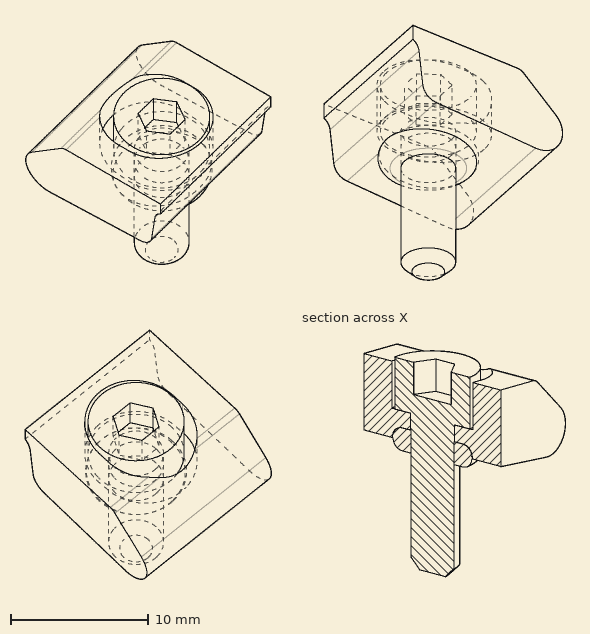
import cadquery as cq
import math


block_width = 12.7
block_left = -7.61
block_right = block_left + block_width
block_top = 16.13
nose_radius = 2.0
nose_center_x = block_left + nose_radius
nose_center_z = 10.87
top_slope = math.radians(5.6)
ramp_slope = math.radians(45)
bottom_slope = math.radians(8.4)
ridge_radius = 0.8
heel_radius = 1.34
rear_low_x, rear_low_z = 4.25, 11.25
neck_x, neck_z = 4.56, 14.08
lip_bottom = 14.92

shank_radius = 2.0
tip_chamfer = 0.8
head_radius = 3.5
head_height = 4.0
head_top = 15.98
head_seat = head_top - head_height
hex_across_flats = 3.0
hex_depth = 2.5

pocket_radius = 3.75
pocket_travel = 1.0

washer_radius = 3.68
washer_bottom = 8.85
rim_radius = 0.89
washer_flat_radius = washer_radius - rim_radius


def line_crossing(x1, z1, slope1, x2, z2, slope2):
    """Crossing point of two lines, each given by a point and a slope."""
    x = (z2 - z1 + slope1 * x1 - slope2 * x2) / (slope1 - slope2)
    return x, z1 + slope1 * (x - x1)


def nose_point(angle):
    """Point on the nose arc at an angle measured from +X."""
    return (
        nose_center_x + nose_radius * math.cos(angle),
        nose_center_z + nose_radius * math.sin(angle),
    )


def make_washer():
    profile = (
        cq.Workplane("XZ")
        .moveTo(0, washer_bottom)
        .lineTo(washer_flat_radius, washer_bottom)
        .threePointArc(
            (washer_radius, washer_bottom + rim_radius),
            (washer_flat_radius, washer_bottom + 2 * rim_radius),
        )
        .lineTo(0, washer_bottom + 2 * rim_radius)
        .close()
    )
    return profile.revolve(360, (0, 0), (0, 1))


def make_shank():
    shank = cq.Workplane("XY").circle(shank_radius).extrude(head_seat)
    return shank.faces("<Z").chamfer(tip_chamfer)


def make_screw():
    head = cq.Workplane("XY").workplane(offset=head_seat).circle(head_radius).extrude(head_height)
    hex_diameter = hex_across_flats / math.cos(math.pi / 6)
    socket = (
        cq.Workplane("XY")
        .workplane(offset=head_top - hex_depth)
        .transformed(rotate=(0, 0, 90))
        .polygon(6, hex_diameter)
        .extrude(hex_depth)
    )
    return make_shank().union(head).cut(socket)


def make_block_blank():
    ramp_start = nose_point(math.pi / 2 + ramp_slope)
    bottom_start = nose_point(bottom_slope - math.pi / 2)
    ridge = line_crossing(*ramp_start, math.tan(ramp_slope), block_right, block_top, math.tan(top_slope))
    rear_slope = (neck_z - rear_low_z) / (neck_x - rear_low_x)
    heel = line_crossing(*bottom_start, math.tan(bottom_slope), rear_low_x, rear_low_z, rear_slope)
    blank = (
        cq.Workplane("XZ")
        .moveTo(*bottom_start)
        .lineTo(*heel)
        .lineTo(neck_x, neck_z)
        .tangentArcPoint((block_right, lip_bottom), relative=False)
        .lineTo(block_right, block_top)
        .lineTo(*ridge)
        .lineTo(*ramp_start)
        .threePointArc(nose_point(math.pi), bottom_start)
        .close()
        .extrude(block_width / 2, both=True)
    )
    ridge_edge = cq.selectors.NearestToPointSelector((ridge[0], 0, ridge[1]))
    heel_edge = cq.selectors.NearestToPointSelector((heel[0], 0, heel[1]))
    blank = blank.edges(ridge_edge).fillet(ridge_radius)
    return blank.edges(heel_edge).fillet(heel_radius)


def make_block():
    pocket = (
        cq.Workplane("XY")
        .workplane(offset=head_seat)
        .center(-pocket_travel / 2, 0)
        .slot2D(2 * pocket_radius + pocket_travel, 2 * pocket_radius)
        .extrude(block_top - head_seat)
    )
    return make_block_blank().cut(pocket).cut(make_washer()).cut(make_shank())


block = make_block().solids().val()
screw = make_screw().solids().val()
washer = make_washer().cut(make_shank()).solids().val()

result = cq.Compound.makeCompound([block, screw, washer])